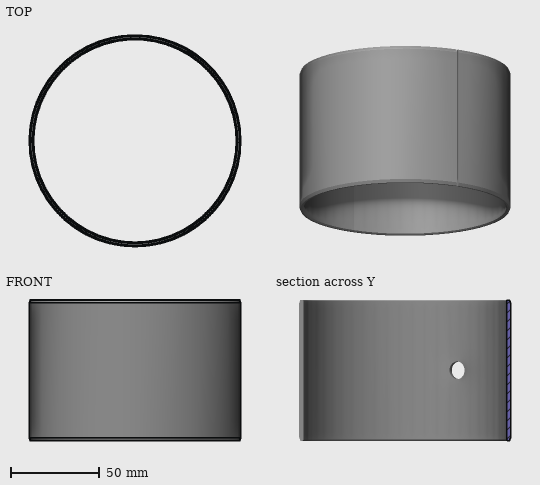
import cadquery as cq

outer_diameter = 120.0
height = outer_diameter * 2 / 3
wall = 2.5
outer_chamfer_length = 1.8
outer_chamfer_depth = 0.66
inner_chamfer = 0.7
slit_width = 1.0
hole_diameter = 10.0
hole_angle = 59.0
hole_height = height / 2

outer_radius = outer_diameter / 2
inner_radius = outer_radius - wall


def make_sleeve():
    """Revolve the wall section, with its end chamfers, about Z."""
    section = [
        (inner_radius + inner_chamfer, 0),
        (outer_radius - outer_chamfer_depth, 0),
        (outer_radius, outer_chamfer_length),
        (outer_radius, height - outer_chamfer_length),
        (outer_radius - outer_chamfer_depth, height),
        (inner_radius + inner_chamfer, height),
        (inner_radius, height - inner_chamfer),
        (inner_radius, inner_chamfer),
    ]
    return cq.Workplane("XZ").polyline(section).close().revolve(360, (0, 0), (0, 1))


def make_slit():
    """Full-height cut on the -X side, with one face on the XZ plane."""
    cutter = cq.Workplane("XY").box(outer_radius, slit_width, height, centered=False)
    return cutter.translate((-outer_radius, 0, 0))


def make_oil_hole():
    """Radial cylinder from the axis outward through one side of the wall."""
    cylinder = cq.Workplane("YZ").circle(hole_diameter / 2).extrude(outer_diameter)
    return cylinder.rotate((0, 0, 0), (0, 0, 1), hole_angle).translate((0, 0, hole_height))


result = make_sleeve().cut(make_slit()).cut(make_oil_hole())